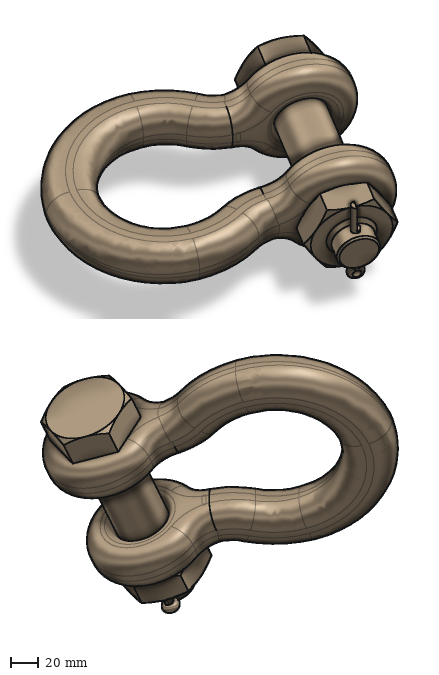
import cadquery as cq
import math

bow_length = 254.73
eye_radius = 45.97
eye_width = 35.2
eye_center_x = 47.8
crest_flat = 5.6
eye_lip_fillet = 7.0
eye_outer_fillet = (eye_width - crest_flat) / 2
eye_outer_x = eye_center_x + eye_width / 2

bar_height = 38.1
bar_width_side = 39.0
bow_inner_radius = 49.25
bow_center_y = -118.0
bow_end_y = eye_radius - bow_length
bar_width_end = bow_center_y - bow_inner_radius - bow_end_y
bow_side_x = bow_inner_radius + bar_width_side / 2
bow_bottom_y = bow_end_y + bar_width_end / 2

neck_fillet = 23.2
bend_start_y = -49.0
shoulder_radius = 74.0

bolt_length = 195.07
pin_diameter = 41.5
hex_head_size = 61.7
hex_nut_size = 63.4
hex_chamfer_angle = 30.0
head_face_x = -88.3
nut_gap = 0.5
nut_start_x = eye_outer_x + nut_gap
nut_end_x = 88.5
bolt_end_x = head_face_x + bolt_length
thread_radius = 19.6
tip_radius = 16.9
cone_end_x = 92.2
tip_chamfer = 1.6

cotter_x = 98.05
cotter_radius = 3.6
cotter_front_top_z = 44.4
cotter_back_top_z = 19.0
cotter_bottom_z = -34.9
loop_outer_radius = 7.0
loop_center_z = cotter_bottom_z + loop_outer_radius
loop_flat_radius = loop_outer_radius - cotter_radius


def eye_with_neck():
    """Eye at +X, blended into a straight neck that overlaps the first part of the bend."""
    half_height = bar_height / 2
    blend_center_z = half_height + neck_fillet
    center_distance = eye_radius + neck_fillet
    neck_y = -math.sqrt(center_distance**2 - blend_center_z**2)
    touch_y = neck_y * eye_radius / center_distance
    touch_z = blend_center_z * eye_radius / center_distance
    to_blend_center = math.atan2(touch_z - blend_center_z, touch_y - neck_y)
    mid_angle = (to_blend_center - math.pi / 2) / 2
    mid_y = neck_y + neck_fillet * math.cos(mid_angle)
    mid_z = blend_center_z + neck_fillet * math.sin(mid_angle)
    blank = (
        cq.Workplane("YZ", origin=(eye_center_x - eye_width / 2, 0, 0))
        .moveTo(neck_y, -half_height)
        .threePointArc((mid_y, -mid_z), (touch_y, -touch_z))
        .threePointArc((eye_radius, 0), (touch_y, touch_z))
        .threePointArc((mid_y, mid_z), (neck_y, half_height))
        .close()
        .extrude(eye_width)
    )
    eye = blank.faces("|X").edges("not |Z").fillet(eye_outer_fillet)
    hole = cq.Workplane("YZ").circle(pin_diameter / 2).extrude(eye_outer_x + eye_width)
    eye = eye.cut(hole)
    hole_edges = cq.selectors.RadiusNthSelector(0)
    return eye.faces("|X").edges("%CIRCLE").edges(hole_edges).fillet(eye_lip_fillet)


def bar_section(x, y, lean, width):
    """Rounded section of the bow bar, square to a centreline that leans away from -Y."""
    direction = (math.sin(lean), -math.cos(lean), 0)
    across = (math.cos(lean), math.sin(lean), 0)
    plane = cq.Plane(origin=(x, y, 0), xDir=across, normal=direction)
    outline = cq.Workplane(plane).rect(width, bar_height).val()
    return outline.fillet2D((width - crest_flat) / 2, outline.Vertices())


def half_bow():
    """Bar from the +X neck, through the S-bend and round to the middle of the bow."""
    offset_x = bow_side_x - eye_center_x
    offset_y = bend_start_y - bow_center_y
    lean = 2 * math.atan2(offset_x, offset_y)
    neck_radius = offset_y / math.sin(lean) - shoulder_radius
    joint_x = eye_center_x + neck_radius * (1 - math.cos(lean))
    joint_y = bend_start_y - neck_radius * math.sin(lean)
    path = (
        cq.Workplane("XY")
        .moveTo(eye_center_x, bend_start_y)
        .threePointArc(
            (
                eye_center_x + neck_radius * (1 - math.cos(lean / 2)),
                bend_start_y - neck_radius * math.sin(lean / 2),
            ),
            (joint_x, joint_y),
        )
        .tangentArcPoint((bow_side_x, bow_center_y), relative=False)
        .tangentArcPoint((0, bow_bottom_y), relative=False)
    )
    sections = [
        bar_section(eye_center_x, bend_start_y, 0, eye_width),
        bar_section(bow_side_x, bow_center_y, 0, bar_width_side),
        bar_section(0, bow_bottom_y, -math.pi / 2, bar_width_end),
    ]
    return cq.Workplane(cq.Solid.sweep_multi(sections, path.wire().val()))


def shackle_bow():
    half = eye_with_neck().union(half_bow())
    return half.union(half.mirror("YZ"))


def hex_prism(size, start_x, end_x, chamfer_start, chamfer_end):
    """Hexagon along X with flats facing +Z and -Z and turned corners on the chosen ends."""
    length = end_x - start_x
    corner_radius = size / math.sqrt(3)
    drop = (corner_radius - size / 2) * math.tan(math.radians(hex_chamfer_angle))
    prism = cq.Workplane("YZ", origin=(start_x, 0, 0)).polygon(6, 2 * corner_radius).extrude(length)
    start_radius = size / 2 if chamfer_start else corner_radius
    end_radius = size / 2 if chamfer_end else corner_radius
    profile = [(start_x, 0), (start_x, start_radius)]
    if chamfer_start:
        profile.append((start_x + drop, corner_radius))
    if chamfer_end:
        profile.append((end_x - drop, corner_radius))
    profile += [(end_x, end_radius), (end_x, 0)]
    turned = cq.Workplane("XY").polyline(profile).close().revolve(360, (0, 0, 0), (1, 0, 0))
    return prism.intersect(turned)


def half_leg(side, top_z):
    """Half-round cotter leg on one side of the XZ plane: -1 toward -Y, +1 toward +Y."""
    return (
        cq.Workplane("XY", origin=(cotter_x, 0, loop_center_z))
        .moveTo(-cotter_radius, 0)
        .threePointArc((0, side * cotter_radius), (cotter_radius, 0))
        .close()
        .extrude(top_z - loop_center_z)
    )


def cotter_loop():
    """Ring of half-round wire, flat side inward, around an axis along X."""
    return (
        cq.Workplane("XY", origin=(cotter_x, 0, loop_center_z))
        .moveTo(-cotter_radius, loop_flat_radius)
        .threePointArc((0, loop_outer_radius), (cotter_radius, loop_flat_radius))
        .close()
        .revolve(360, (0, 0, 0), (1, 0, 0))
    )


def bolt_assembly():
    head = hex_prism(hex_head_size, head_face_x, -eye_outer_x, True, False)
    nut = hex_prism(hex_nut_size, nut_start_x, nut_end_x, True, True)
    shank_profile = [
        (-eye_outer_x, 0),
        (-eye_outer_x, pin_diameter / 2),
        (nut_start_x, pin_diameter / 2),
        (nut_start_x, thread_radius),
        (nut_end_x, thread_radius),
        (cone_end_x, tip_radius),
        (bolt_end_x - tip_chamfer, tip_radius),
        (bolt_end_x, tip_radius - tip_chamfer),
        (bolt_end_x, 0),
    ]
    shank = cq.Workplane("XY").polyline(shank_profile).close().revolve(360, (0, 0, 0), (1, 0, 0))
    opening = (
        cq.Workplane("YZ", origin=(cotter_x, 0, loop_center_z))
        .circle(loop_flat_radius)
        .extrude(cotter_radius, both=True)
    )
    legs = half_leg(-1, cotter_front_top_z).union(half_leg(1, cotter_back_top_z)).cut(opening)
    return shank.union(head).union(nut).union(legs).union(cotter_loop())


bow = shackle_bow()
bolt = bolt_assembly()
result = cq.Compound.makeCompound([bow.solids().val(), bolt.solids().val()])